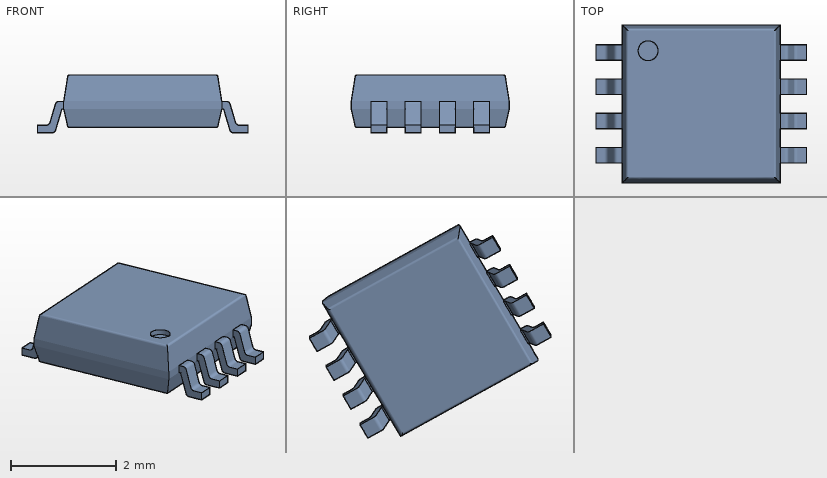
import cadquery as cq
import math

housing_side = 3.0
housing_top = 1.1
housing_bottom = 0.1
taper_inset = 0.08
edge_radius = 0.04

mark_diameter = 0.375
mark_depth = 0.1
mark_edge_distance = 0.49

overall_length = 4.0
leads_per_side = 4
lead_row_span = 1.95
lead_width = 0.3
lead_thickness = 0.15
lead_top = 0.6
foot_length = 0.225
ramp_angle = 16.5
bend_radius = 0.075

half_side = housing_side / 2
band_bottom = lead_top - lead_thickness
lead_pitch = lead_row_span / (leads_per_side - 1)


def tapered_half(start_z, end_z):
    """Half of the housing, from the full square at start_z to the inset square at end_z."""
    end_side = housing_side - 2 * taper_inset
    return (
        cq.Workplane("XY", origin=(0, 0, start_z))
        .rect(housing_side, housing_side)
        .workplane(offset=end_z - start_z)
        .rect(end_side, end_side)
        .loft(ruled=True)
    )


def make_housing():
    band = (
        cq.Workplane("XY", origin=(0, 0, band_bottom))
        .rect(housing_side, housing_side)
        .extrude(lead_thickness)
    )
    upper_half = tapered_half(lead_top, housing_top)
    lower_half = tapered_half(band_bottom, housing_bottom)
    body = band.union(upper_half).union(lower_half)
    body = body.faces(">Z or <Z").edges().fillet(edge_radius)

    mark_offset = half_side - mark_edge_distance
    mark = (
        cq.Workplane("XY", origin=(-mark_offset, mark_offset, housing_top - mark_depth))
        .circle(mark_diameter / 2)
        .extrude(mark_depth)
    )
    return body.cut(mark).solids()


def make_lead():
    """One lead of the -X side, centred on Y = 0, with its root against the housing band."""
    angle = math.radians(ramp_angle)
    toe_x = -overall_length / 2
    root_x = -half_side
    heel_x = toe_x + foot_length
    shoulder_x = heel_x + (lead_top - lead_thickness) * math.tan(angle)
    corner_shift = lead_thickness * (1 - math.sin(angle)) / math.cos(angle)

    foot_top_corner = (heel_x, lead_thickness)
    shoulder_corner = (shoulder_x, lead_top)
    inner_shoulder_corner = (shoulder_x + corner_shift, band_bottom)
    foot_bottom_corner = (heel_x + corner_shift, 0)

    lead = (
        cq.Workplane("XZ")
        .polyline([
            (toe_x, 0),
            (toe_x, lead_thickness),
            foot_top_corner,
            shoulder_corner,
            (root_x, lead_top),
            (root_x, band_bottom),
            inner_shoulder_corner,
            foot_bottom_corner,
        ])
        .close()
        .extrude(lead_width / 2, both=True)
    )
    for x, z in (foot_top_corner, shoulder_corner, foot_bottom_corner):
        lead = lead.edges(cq.selectors.NearestToPointSelector((x, 0, z))).fillet(bend_radius)
    return lead.solids()


def make_leads():
    left_lead = make_lead()
    right_lead = left_lead.mirror("YZ")
    leads = []
    for index in range(leads_per_side):
        y = index * lead_pitch - lead_row_span / 2
        for lead in (left_lead, right_lead):
            leads.append(lead.translate((0, y, 0)).val())
    return leads


housing = make_housing()
leads = make_leads()
result = cq.Compound.makeCompound([housing.val(), *leads])